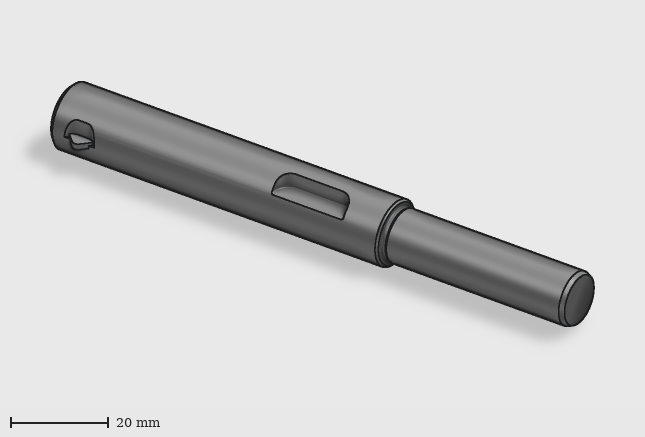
import cadquery as cq
import math

total_length = 125.0
body_diameter = 14.8
body_length = 80.4
nose_chamfer = 1.0
shoulder_chamfer = 0.5

shank_diameter = 12.0
relief_diameter = 11.6
relief_width = 1.0
relief_root_fillet = 0.4
relief_exit_taper = 0.4
end_taper_length = 1.1
end_taper_drop = 0.5

window_center_x = 62.6
window_length = 17.5
window_corner_radius = 3.1
window_foot_fillet = 0.5
window_back_y = -1.9
window_floor_z = 3.6

blade_center_x = 7.6
flank_angle = math.radians(45)
pocket_back_y = -6.0
pocket_flat_width = 2.1
pocket_corner_radius = 3.0
pocket_floor_z = 0.0

blade_tip_y = -9.1
blade_tip_radius = 1.2
blade_root_y = -6.0
blade_thickness = 1.4

body_radius = body_diameter / 2
cut_reach = body_diameter


def make_bar():
    """Revolve the stepped half-profile about the X axis."""
    shank_radius = shank_diameter / 2
    relief_radius = relief_diameter / 2
    relief_end = body_length + relief_width
    return (
        cq.Workplane("XY")
        .moveTo(0, 0)
        .lineTo(0, body_radius - nose_chamfer)
        .lineTo(nose_chamfer, body_radius)
        .lineTo(body_length - shoulder_chamfer, body_radius)
        .lineTo(body_length, body_radius - shoulder_chamfer)
        .lineTo(body_length, relief_radius + relief_root_fillet)
        .radiusArc((body_length + relief_root_fillet, relief_radius), -relief_root_fillet)
        .lineTo(relief_end, relief_radius)
        .lineTo(relief_end + relief_exit_taper, shank_radius)
        .lineTo(total_length - end_taper_length, shank_radius)
        .lineTo(total_length, shank_radius - end_taper_drop)
        .lineTo(total_length, 0)
        .close()
        .revolve(360, (0, 0, 0), (1, 0, 0))
    )


def make_window():
    """Cutter with a flat floor, upright walls and a fillet around the foot."""
    corner = (window_center_x, window_back_y - cut_reach, window_floor_z)
    return (
        cq.Workplane("XY")
        .box(window_length, cut_reach, cut_reach, centered=(True, False, False))
        .edges("|Z and >Y")
        .fillet(window_corner_radius)
        .faces("<Z")
        .edges()
        .edges("not(<Y)")
        .fillet(window_foot_fillet)
        .translate(corner)
    )


def make_blade_pocket():
    """Upright cutter with a narrow flat back, widening toward the outside."""
    sharp_half = pocket_flat_width / 2 + pocket_corner_radius * math.tan(flank_angle / 2)
    mouth_half = sharp_half + cut_reach / math.tan(flank_angle)
    mouth_y = pocket_back_y - cut_reach
    return (
        cq.Workplane("XY")
        .workplane(offset=pocket_floor_z)
        .moveTo(blade_center_x - sharp_half, pocket_back_y)
        .lineTo(blade_center_x + sharp_half, pocket_back_y)
        .lineTo(blade_center_x + mouth_half, mouth_y)
        .lineTo(blade_center_x - mouth_half, mouth_y)
        .close()
        .extrude(cut_reach)
        .edges("|Z and >Y")
        .fillet(pocket_corner_radius)
    )


def make_blade():
    """Blade whose top and bottom lie evenly about the bar axis."""
    tip_x = blade_tip_radius * math.sin(flank_angle)
    tangent_y = blade_tip_y + blade_tip_radius * (1 - math.cos(flank_angle))
    root_half = tip_x + (blade_root_y - tangent_y) / math.tan(flank_angle)
    return (
        cq.Workplane("XY")
        .moveTo(blade_center_x - tip_x, tangent_y)
        .threePointArc((blade_center_x, blade_tip_y), (blade_center_x + tip_x, tangent_y))
        .lineTo(blade_center_x + root_half, blade_root_y)
        .lineTo(blade_center_x - root_half, blade_root_y)
        .close()
        .extrude(blade_thickness / 2, both=True)
    )


result = make_bar().cut(make_window()).cut(make_blade_pocket()).union(make_blade())